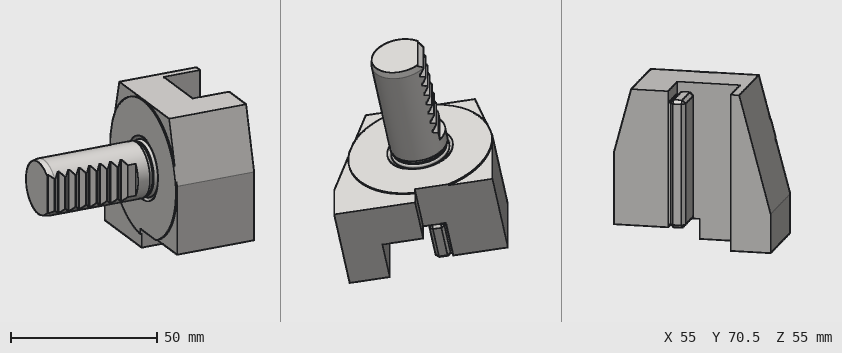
import cadquery as cq
import math


OVERALL_LENGTH = 70.5

BODY_LEFT = 29.95
BODY_RIGHT = 25.0
BODY_TOP = 25.0
BODY_BOTTOM = 29.95
BODY_BACK = 29.95
TOP_HALF_WIDTH = 18.95
FLANK_ANGLE = 15.0
STEP_X = -1.8
STEP_Z = -22.9

FLANGE_RADIUS = 24.95
FLANGE_HEIGHT = 0.5

SHANK_LENGTH = 40.0
SHANK_RADIUS = 10.0
SHANK_END_RADIUS = 9.5
TIP_CHAMFER = 2.1
NECK_LENGTH = 1.05
NECK_TAPER_LENGTH = 1.3
RELIEF_RADIUS = 9.4

RECESS_RADIUS = 11.4
RECESS_DEPTH = 0.8
SEAL_TUBE_RADIUS = 0.85
SEAL_RING_RADIUS = 9.3
SEAL_Y = 0.35

FLAT_X = 8.1
FLAT_START = 6.85
ROOT_X = 6.5
FIRST_GROOVE = 11.7
GROOVE_ROW_LENGTH = 28.0
GROOVE_COUNT = 8
GROOVE_ROOT_WIDTH = 0.35

SLOT_LEFT = -16.0
SLOT_RIGHT = 6.0
SLOT_FLOOR = 16.0

JAW_LEFT = 0.0
JAW_RIGHT = 5.35
JAW_FRONT = 16.4
JAW_BACK = OVERALL_LENGTH - SHANK_LENGTH
JAW_TOP = 22.0
JAW_BOTTOM = -23.0
JAW_CHAMFER = 1.2
STEM_INSET = 1.05


def box_between(x_range, y_range, z_range):
    """Axis-aligned box spanning the three given (low, high) ranges."""
    low, high = zip(x_range, y_range, z_range)
    size = [end - start for start, end in zip(low, high)]
    return cq.Workplane("XY").box(*size, centered=False).translate(low)


def cylinder(radius, y_start, y_end):
    """Cylinder around the shank axis."""
    workplane = cq.Workplane("XZ", origin=(0, y_end, 0))
    return workplane.circle(radius).extrude(y_end - y_start)


def make_outline_block():
    """Block with the body outline, from the flange face to the back face."""
    slope = math.tan(math.radians(FLANK_ANGLE))
    left_shoulder = BODY_TOP - (BODY_LEFT - TOP_HALF_WIDTH) / slope
    right_shoulder = BODY_TOP - (BODY_RIGHT - TOP_HALF_WIDTH) / slope
    outline = [
        (-BODY_LEFT, -BODY_BOTTOM),
        (STEP_X, -BODY_BOTTOM),
        (STEP_X, STEP_Z),
        (BODY_RIGHT, STEP_Z),
        (BODY_RIGHT, right_shoulder),
        (TOP_HALF_WIDTH, BODY_TOP),
        (-TOP_HALF_WIDTH, BODY_TOP),
        (-BODY_LEFT, left_shoulder),
    ]
    workplane = cq.Workplane("XZ", origin=(0, BODY_BACK, 0))
    return workplane.polyline(outline).close().extrude(BODY_BACK)


def make_body():
    """Slotted body; its front is cut back to leave the flange disc."""
    block = make_outline_block()
    front_layer = box_between(
        (-BODY_LEFT, BODY_RIGHT), (0, FLANGE_HEIGHT), (-BODY_BOTTOM, BODY_TOP)
    )
    body = block.cut(front_layer.cut(cylinder(FLANGE_RADIUS, 0, FLANGE_HEIGHT)))
    slot = box_between(
        (SLOT_LEFT, SLOT_RIGHT), (SLOT_FLOOR, BODY_BACK), (-BODY_BOTTOM, BODY_TOP)
    )
    return body.cut(slot)


def make_seal_recess():
    """Round recess whose wall is a quarter arc running out into the floor."""
    floor_radius = RECESS_RADIUS - RECESS_DEPTH
    arc_offset = RECESS_DEPTH * math.sqrt(0.5)
    profile = (
        cq.Workplane("XY")
        .lineTo(RECESS_RADIUS, 0)
        .threePointArc((floor_radius + arc_offset, arc_offset), (floor_radius, RECESS_DEPTH))
        .lineTo(0, RECESS_DEPTH)
        .close()
    )
    return profile.revolve(360, (0, 0), (0, 1))


def make_seal():
    """O-ring lying around the foot of the shank."""
    tube = cq.Workplane("XY").center(SEAL_RING_RADIUS, SEAL_Y).circle(SEAL_TUBE_RADIUS)
    return tube.revolve(360, (-SEAL_RING_RADIUS, 0), (-SEAL_RING_RADIUS, 1))


def make_shank():
    """Turned shank with a tapered neck and a chamfered tip."""
    profile = [
        (0, RECESS_DEPTH),
        (RELIEF_RADIUS, RECESS_DEPTH),
        (RELIEF_RADIUS, -NECK_LENGTH),
        (SHANK_END_RADIUS, -NECK_LENGTH),
        (SHANK_RADIUS, -NECK_LENGTH - NECK_TAPER_LENGTH),
        (SHANK_RADIUS, TIP_CHAMFER - SHANK_LENGTH),
        (SHANK_END_RADIUS, -SHANK_LENGTH),
        (0, -SHANK_LENGTH),
    ]
    return cq.Workplane("XY").polyline(profile).close().revolve(360, (0, 0), (0, 1))


def make_serration_cutter():
    """Flat relief plus the row of 90 degree grooves cut across it."""
    height = (-SHANK_RADIUS, SHANK_RADIUS)
    cutter = box_between((FLAT_X, 2 * SHANK_RADIUS), (-SHANK_LENGTH, -FLAT_START), height)
    half_root = GROOVE_ROOT_WIDTH / 2
    half_top = half_root + FLAT_X - ROOT_X
    pitch = GROOVE_ROW_LENGTH / (GROOVE_COUNT - 1)
    for index in range(GROOVE_COUNT):
        y = -FIRST_GROOVE - index * pitch
        groove = [
            (ROOT_X, y - half_root),
            (FLAT_X, y - half_top),
            (FLAT_X, y + half_top),
            (ROOT_X, y + half_root),
        ]
        workplane = cq.Workplane("XY", origin=(0, 0, -SHANK_RADIUS))
        cutter = cutter.union(
            workplane.polyline(groove).close().extrude(2 * SHANK_RADIUS)
        )
    return cutter


def make_jaw():
    """Chamfered clamping bar and the stem joining it to the slot wall."""
    bar = box_between(
        (JAW_LEFT, JAW_RIGHT), (JAW_FRONT, JAW_BACK), (JAW_BOTTOM, JAW_TOP)
    )
    bar = bar.edges().chamfer(JAW_CHAMFER)
    stem = box_between(
        (JAW_RIGHT - STEM_INSET, SLOT_RIGHT),
        (JAW_FRONT + STEM_INSET, JAW_BACK - STEM_INSET),
        (JAW_BOTTOM + STEM_INSET, JAW_TOP - STEM_INSET),
    )
    return bar.union(stem)


shank = make_shank().cut(make_serration_cutter())
body = make_body().cut(make_seal_recess())
result = body.union(shank).union(make_seal()).union(make_jaw())